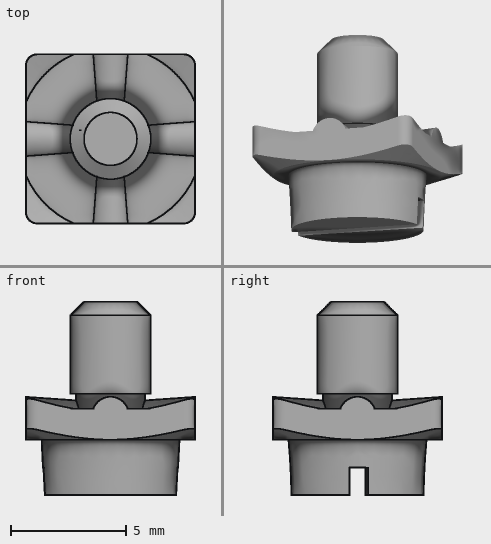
import cadquery as cq
import math

PLATE_SIDE = 7.35
PLATE_CORNER_RADIUS = 0.5
PLATE_BOTTOM_Z = 2.4
PLATE_THICKNESS = 1.35
PLATE_TOP_Z = PLATE_BOTTOM_Z + PLATE_THICKNESS
TOP_FLAT_RADIUS = 4.0
BOTTOM_FLAT_RADIUS = 3.65
TOP_RISE_ANGLE = 23.5
BOTTOM_RISE_ANGLE = 20.0
DISH_RADIUS = PLATE_SIDE

BOSS_TOP_RADIUS = 3.0
BOSS_DRAFT_ANGLE = 3.0
BOSS_BOTTOM_RADIUS = BOSS_TOP_RADIUS - PLATE_BOTTOM_Z * math.tan(math.radians(BOSS_DRAFT_ANGLE))

SLOT_WIDTH = 0.81
SLOT_DEPTH = 1.2
SLOT_ANGLE = 1.3
SLOT_LENGTH = 3 * BOSS_TOP_RADIUS

NECK_RADIUS = 1.5
POST_RADIUS = 1.75
POST_BOTTOM_Z = 4.4
POST_TOP_Z = 8.4
POST_CHAMFER = 0.6

RIB_COUNT = 4
RIB_AXIS_Z = 3.47
RIB_OUTER_RADIUS = 0.8
RIB_TAPER_ANGLE = 4.0
RIB_LENGTH = PLATE_SIDE / 2
RIB_INNER_RADIUS = RIB_OUTER_RADIUS - RIB_LENGTH * math.tan(math.radians(RIB_TAPER_ANGLE))


def make_plate():
    """Rounded square cut from a disc whose rim rises conically on both faces."""
    top_rim_z = PLATE_TOP_Z + (DISH_RADIUS - TOP_FLAT_RADIUS) * math.tan(math.radians(TOP_RISE_ANGLE))
    bottom_rise = (DISH_RADIUS - BOTTOM_FLAT_RADIUS) * math.tan(math.radians(BOTTOM_RISE_ANGLE))
    dish = (
        cq.Workplane("XZ")
        .moveTo(0, PLATE_BOTTOM_Z)
        .lineTo(BOTTOM_FLAT_RADIUS, PLATE_BOTTOM_Z)
        .lineTo(DISH_RADIUS, PLATE_BOTTOM_Z + bottom_rise)
        .lineTo(DISH_RADIUS, top_rim_z)
        .lineTo(TOP_FLAT_RADIUS, PLATE_TOP_Z)
        .lineTo(0, PLATE_TOP_Z)
        .close()
        .revolve(360, (0, 0), (0, 1))
    )
    square = (
        cq.Workplane("XY")
        .rect(PLATE_SIDE, PLATE_SIDE)
        .extrude(POST_TOP_Z)
        .edges("|Z")
        .fillet(PLATE_CORNER_RADIUS)
    )
    return dish.intersect(square)


def make_boss():
    """Tapered round boss with the slot across its lower end."""
    boss = (
        cq.Workplane("XY")
        .circle(BOSS_BOTTOM_RADIUS)
        .workplane(offset=PLATE_BOTTOM_Z)
        .circle(BOSS_TOP_RADIUS)
        .loft(ruled=True)
    )
    slot = (
        cq.Workplane("XY")
        .rect(SLOT_LENGTH, SLOT_WIDTH)
        .extrude(SLOT_DEPTH)
        .rotate((0, 0, 0), (0, 0, 1), SLOT_ANGLE)
    )
    return boss.cut(slot)


def make_post():
    """Chamfered post standing on a narrower neck."""
    neck = (
        cq.Workplane("XY", origin=(0, 0, PLATE_BOTTOM_Z))
        .circle(NECK_RADIUS)
        .extrude(POST_BOTTOM_Z - PLATE_BOTTOM_Z)
    )
    post = (
        cq.Workplane("XY", origin=(0, 0, POST_BOTTOM_Z))
        .circle(POST_RADIUS)
        .extrude(POST_TOP_Z - POST_BOTTOM_Z)
        .faces(">Z")
        .chamfer(POST_CHAMFER)
    )
    return neck.union(post)


def make_rib(angle):
    """Cone running from the centre axis to a plate side, half sunk in the plate."""
    cone = cq.Solid.makeCone(
        RIB_INNER_RADIUS,
        RIB_OUTER_RADIUS,
        RIB_LENGTH,
        pnt=cq.Vector(0, 0, RIB_AXIS_Z),
        dir=cq.Vector(1, 0, 0),
    )
    return cq.Workplane(cone).rotate((0, 0, 0), (0, 0, 1), angle)


result = make_plate().union(make_boss()).union(make_post())
for rib_index in range(RIB_COUNT):
    result = result.union(make_rib(rib_index * 360 / RIB_COUNT))
result = result.clean()